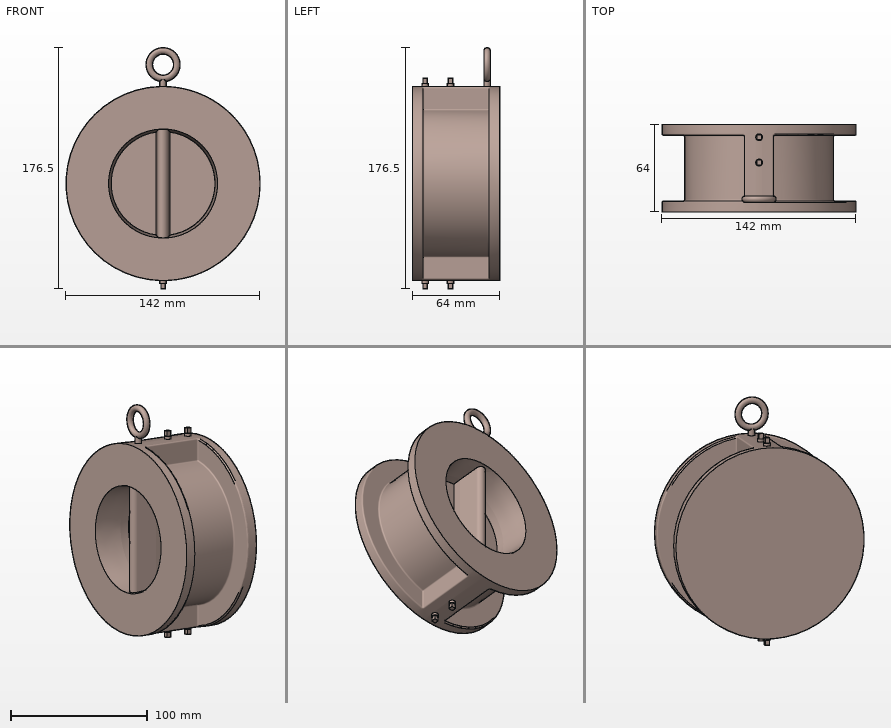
import cadquery as cq

OVERALL_HEIGHT = 176.5

BODY_DIAMETER = 142.0
BODY_DEPTH = 64.0
BODY_RADIUS = BODY_DIAMETER / 2
FLANGE_THICKNESS = 8.0
BARREL_RADIUS = 54.5
WEB_WIDTH = 21.2
POCKET_FILLET = 1.0

MOUTH_RADIUS = 39.9
BORE_RADIUS = 38.0
MOUTH_DEPTH = 21.9
PLATE_DEPTH = 29.0

BAR_BASE_WIDTH = 10.2
BAR_NOSE_WIDTH = 7.8
BAR_NOSE_DEPTH = 2.3
BAR_SHOULDER_DEPTH = BAR_NOSE_DEPTH + BAR_NOSE_WIDTH / 2

PIN_RADIUS = 2.5
PIN_COLLAR_HEIGHT = 2.1
PIN_PROJECTION = 6.0
PIN_SQUARE = 3.4
PIN_POSITIONS = (36.2, 54.7)

EYE_Y = 9.4
EYE_WIRE_RADIUS = 2.5
EYE_RING_RADIUS = 10.0
EYE_TOP = OVERALL_HEIGHT - BODY_RADIUS - PIN_PROJECTION
EYE_CENTER_Z = EYE_TOP - EYE_RING_RADIUS - EYE_WIRE_RADIUS

ROOT_Z = BARREL_RADIUS


def disc(radius, depth, start=0.0):
    """Cylinder along +Y that begins at y = start."""
    return cq.Workplane("XZ", origin=(0, start, 0)).circle(radius).extrude(-depth)


def make_pocket(side):
    """Cutter, oversized outward, for the recess on one side (+1 or -1 in X) of the webs."""
    depth = BODY_DEPTH - 2 * FLANGE_THICKNESS
    outer_radius = BODY_DIAMETER
    ring = disc(outer_radius, depth, FLANGE_THICKNESS).cut(disc(BARREL_RADIUS, depth, FLANGE_THICKNESS))
    half_space = cq.Workplane("XY").box(
        outer_radius, BODY_DEPTH, 2 * outer_radius, centered=(False, False, True)
    )
    if side < 0:
        half_space = half_space.mirror("YZ")
    return ring.intersect(half_space.translate((side * WEB_WIDTH / 2, 0, 0)))


def make_body():
    """Flanged barrel with top and bottom webs and rounded pocket edges."""
    body = disc(BODY_RADIUS, BODY_DEPTH)
    for side in (1, -1):
        body = body.cut(make_pocket(side))
    pocket_zone = cq.selectors.BoxSelector(
        (-BODY_DIAMETER, FLANGE_THICKNESS / 2, -BODY_DIAMETER),
        (BODY_DIAMETER, BODY_DEPTH - FLANGE_THICKNESS / 2, BODY_DIAMETER),
    )
    return body.edges(pocket_zone).fillet(POCKET_FILLET)


def make_bore():
    """Cutter for the tapered mouth and the straight bore."""
    profile = [
        (0, 0),
        (MOUTH_RADIUS, 0),
        (BORE_RADIUS, MOUTH_DEPTH),
        (BORE_RADIUS, PLATE_DEPTH),
        (0, PLATE_DEPTH),
    ]
    return cq.Workplane("XY").polyline(profile).close().revolve(360, (0, 0, 0), (0, 1, 0))


def make_bar():
    """Upright bar with tapered flanks and a round nose, trimmed to the bore."""
    base = BAR_BASE_WIDTH / 2
    nose = BAR_NOSE_WIDTH / 2
    bar = (
        cq.Workplane("XY", origin=(0, 0, -MOUTH_RADIUS))
        .moveTo(-base, PLATE_DEPTH)
        .lineTo(-base, MOUTH_DEPTH)
        .lineTo(-nose, BAR_SHOULDER_DEPTH)
        .threePointArc((0, BAR_NOSE_DEPTH), (nose, BAR_SHOULDER_DEPTH))
        .lineTo(base, MOUTH_DEPTH)
        .lineTo(base, PLATE_DEPTH)
        .close()
        .extrude(2 * MOUTH_RADIUS)
    )
    return bar.intersect(make_bore())


def make_pin(y):
    """Pin end with a round collar and a square drive, standing on top of the web."""
    base = cq.Workplane("XY", origin=(0, y, ROOT_Z))
    web_top = BODY_RADIUS - ROOT_Z
    collar = base.circle(PIN_RADIUS).extrude(web_top + PIN_COLLAR_HEIGHT)
    drive = base.rect(PIN_SQUARE, PIN_SQUARE).extrude(web_top + PIN_PROJECTION)
    return collar.union(drive)


def make_eye():
    """Ring with a short stem rising from the top web."""
    center = cq.Vector(0, EYE_Y, EYE_CENTER_Z)
    ring = cq.Workplane(cq.Solid.makeTorus(EYE_RING_RADIUS, EYE_WIRE_RADIUS, center, cq.Vector(0, 1, 0)))
    stem_height = EYE_CENTER_Z - EYE_RING_RADIUS - ROOT_Z
    stem = cq.Workplane("XY", origin=(0, EYE_Y, ROOT_Z)).circle(EYE_WIRE_RADIUS).extrude(stem_height)
    return ring.union(stem)


result = make_body().cut(make_bore()).union(make_bar())
for pin_y in PIN_POSITIONS:
    top_pin = make_pin(pin_y)
    result = result.union(top_pin).union(top_pin.mirror("XY"))
result = result.union(make_eye())